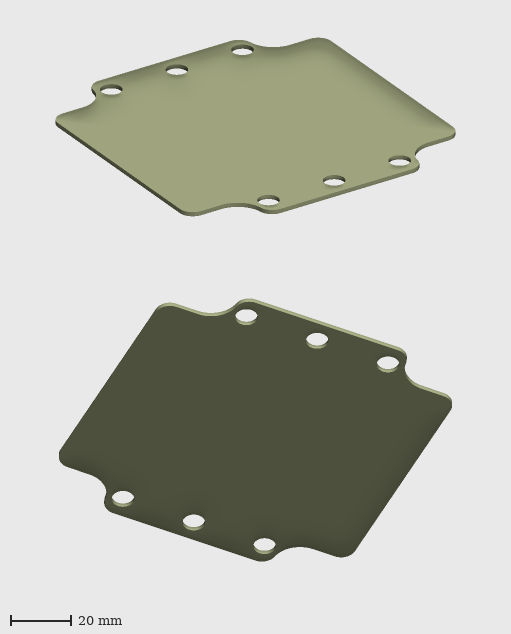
import cadquery as cq
import math

length_x = 110.0
length_y = 108.0
thickness = 1.5

panel_width = 83.8
corner_radius = 5.1
ear_radius = 5.1
notch_radius = 10.0
notch_start_y = 41.0

hole_diameter = 7.5
hole_span_x = 95.0
hole_pitch_y = 26.0
holes_per_side = 3

half_x = length_x / 2
half_y = length_y / 2
half_panel = panel_width / 2

notch_center_x = half_panel + notch_radius
ear_center_x = half_x - ear_radius
center_distance = notch_radius + ear_radius
center_offset_x = ear_center_x - notch_center_x
ear_center_y = notch_start_y - math.sqrt(center_distance**2 - center_offset_x**2)
ear_angle = math.atan2(notch_start_y - ear_center_y, -center_offset_x)
blend_x = ear_center_x + ear_radius * math.cos(ear_angle)
blend_y = ear_center_y + ear_radius * math.sin(ear_angle)


def make_quarter():
    """Quarter of the plate in the +X, +Y quadrant."""
    return (
        cq.Workplane("XY")
        .lineTo(half_x, 0)
        .lineTo(half_x, ear_center_y)
        .radiusArc((blend_x, blend_y), -ear_radius)
        .radiusArc((half_panel, notch_start_y), notch_radius)
        .lineTo(half_panel, half_y - corner_radius)
        .radiusArc((half_panel - corner_radius, half_y), -corner_radius)
        .lineTo(0, half_y)
        .close()
        .extrude(thickness)
    )


def make_plate():
    """Full plate, mirrored about both centre planes."""
    quarter = make_quarter()
    half = quarter.union(quarter.mirror("YZ"))
    return half.union(half.mirror("XZ")).clean()


def make_holes():
    """Through holes in a column along each ear."""
    return (
        cq.Workplane("XY")
        .rarray(hole_span_x, hole_pitch_y, 2, holes_per_side)
        .circle(hole_diameter / 2)
        .extrude(thickness)
    )


result = make_plate().cut(make_holes())